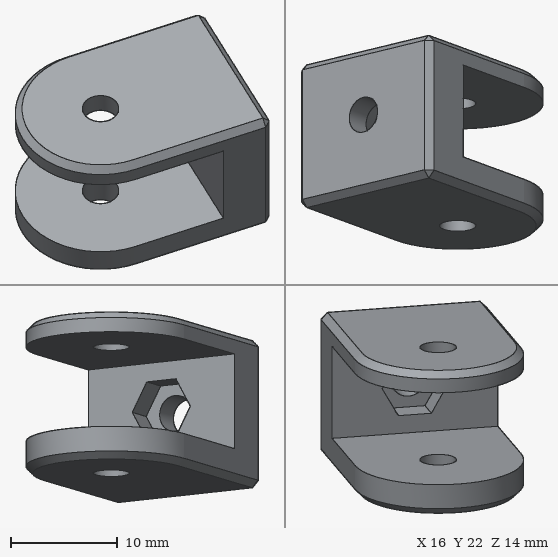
import cadquery as cq
import math

width = 16.0
length = 22.0
lower_arm = 3.0
upper_arm = 2.0
arm_gap = 9.0
back_wall = 5.0
edge_chamfer = 0.65
hole_diameter = 3.4
nut_across_flats = 5.5
nut_depth = 2.5

nose_radius = width / 2
back_y = length - nose_radius
height = lower_arm + arm_gap + upper_arm
wall_front_y = back_y - back_wall
gap_mid_z = lower_arm + arm_gap / 2
nut_across_corners = nut_across_flats / math.cos(math.pi / 6)


def make_body():
    """Round-nosed block with its outer edges chamfered."""
    block = (
        cq.Workplane("XY")
        .moveTo(-nose_radius, back_y)
        .lineTo(-nose_radius, 0)
        .threePointArc((0, -nose_radius), (nose_radius, 0))
        .lineTo(nose_radius, back_y)
        .close()
        .extrude(height)
    )
    return block.faces("<Z or >Z or >Y").edges().chamfer(edge_chamfer)


def make_gap():
    """Space between the two arms, open at the nose and both sides."""
    gap_length = wall_front_y + nose_radius
    return (
        cq.Workplane("XY")
        .box(width, gap_length, arm_gap, centered=(True, False, True))
        .translate((0, -nose_radius, gap_mid_z))
    )


def make_pivot_hole():
    """Vertical hole through both arms."""
    return cq.Workplane("XY").circle(hole_diameter / 2).extrude(height)


def make_screw_hole():
    """Hole through the back wall with a hexagonal nut pocket facing the gap."""
    wall_front = cq.Workplane("XZ", origin=(0, wall_front_y, gap_mid_z))
    hole = wall_front.circle(hole_diameter / 2).extrude(-back_wall)
    pocket = wall_front.polygon(6, nut_across_corners).extrude(-nut_depth)
    return hole.union(pocket)


result = make_body().cut(make_gap()).cut(make_pivot_hole()).cut(make_screw_hole())